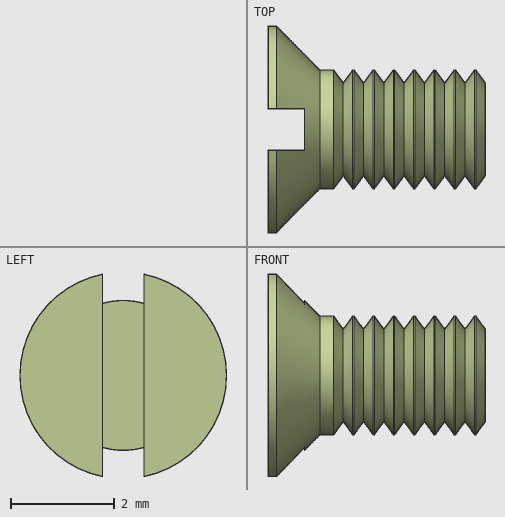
import cadquery as cq

length = 4.2
head_radius = 2.0
rim_height = 0.16
head_height = 1.0

shank_radius = 1.15
root_radius = 0.9
neck_end = 1.27
ring_count = 7
crest_flat = 0.025

slot_width = 0.8
slot_depth = 0.7

pitch = (length - neck_end + crest_flat / 2) / (ring_count + 0.5)
flank_length = (pitch - crest_flat) / 2
first_root = neck_end + flank_length

cutter_clearance = 0.04


def screw_profile():
    """Half section of the screw, from the head face to the tip."""
    points = [
        (0, 0),
        (0, head_radius),
        (rim_height, head_radius),
        (head_height, shank_radius),
        (neck_end, shank_radius),
        (first_root, root_radius),
    ]
    for ring in range(ring_count):
        ring_start = first_root + ring * pitch
        crest_start = ring_start + flank_length
        points.append((crest_start, shank_radius))
        points.append((crest_start + crest_flat, shank_radius))
        points.append((ring_start + pitch, root_radius))
    points.append((length, 0))
    return points


def driver_slot():
    """Cutter for the slot, running along Z; half of it lies outside the head face."""
    return cq.Workplane("XY").box(
        2 * slot_depth, slot_width, 2 * head_radius + cutter_clearance
    )


screw = (
    cq.Workplane("XY")
    .polyline(screw_profile())
    .close()
    .revolve(360, (0, 0, 0), (1, 0, 0))
)
result = screw.cut(driver_slot())